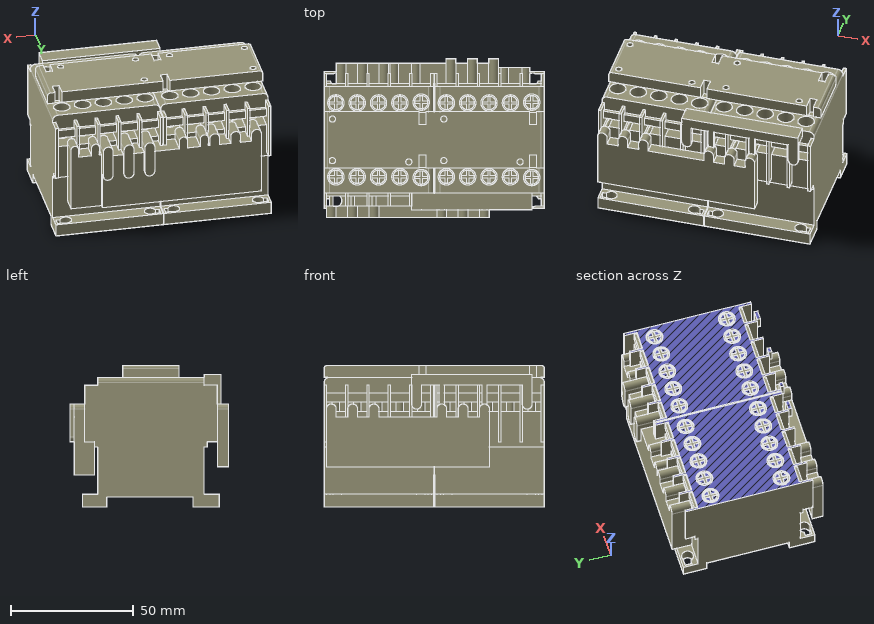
import cadquery as cq


pair_length = 90.0
module_gap = 0.3
module_length = (pair_length - module_gap) / 2
module_pitch = module_length + module_gap
module_centers = (-module_pitch / 2, module_pitch / 2)

body_depth = 43.5
terminal_depth = 46.0
foot_depth = 56.0
rib_depth = 54.2

foot_height = 5.25
foot_channel_height = 4.0
front_foot_width = 10.9
back_foot_width = 10.0
terminal_bottom = 24.5
rib_bottom = 26.6
pocket_floor = 39.0
pocket_roof = 43.0
ledge_top = 46.5
rib_top = 49.85
body_top = 53.0
body_end_radius = 2.1

terminal_pitch = 8.72
terminal_count = 5
rib_width = 1.0
last_end_rib_width = 1.3
first_screw_inset = 4.8
screw_offset = 15.1
last_screw_offset = 15.4
screw_well_diameter = 6.7
screw_head_diameter = 5.5
screw_head_height = 1.5
screw_shaft_diameter = 3.0
cross_length = 5.2
cross_width = 0.95
cross_depth = 0.8
pocket_inner_offset = 11.5

mount_hole_diameter = 4.8
mount_hole_end_inset = 4.8
mount_hole_edge_inset = 3.15
mount_slot_end_inset = 0.9
mount_slot_edge_inset = 1.05
mount_slot_width = 2.8

cover_depth = 23.1
cover_top = 57.9
cover_end_radius = 1.3
cover_hole_diameter = 2.5
cover_hole_points = (
    (-41.6, 8.5), (-41.6, -8.5), (-10.4, -9.0),
    (3.9, 8.5), (3.9, -8.5), (35.1, -9.0),
)
notch_centers = (-4.75, 40.4)
notch_width = 2.8
notch_length = 5.3
notch_lip = 0.35
notch_body_depth = 2.0

phase_count = 3
finger_width = 4.05
finger_top = 42.1
jumper_web_top = 36.85
pin_diameter = 1.5
pin_end_offset = 20.0

front_jumper_face = -31.75
front_jumper_bottom = 16.4
front_jumper_start = -44.1
front_second_group_start = 1.05
front_finger_starts = tuple(
    start + index * terminal_pitch
    for start in (front_jumper_start, front_second_group_start)
    for index in range(phase_count)
)
front_jumper_end = front_finger_starts[-1] + finger_width

bridge_start = -9.25
bridge_end = 40.0
bridge_top = 54.2
bridge_face = -28.65
bridge_leg_thickness = 1.6
bridge_leg_bottom = 40.0
bridge_link_width = 2.2

back_jumper_bottom = 13.0
back_jumper_face = 31.4
back_jumper_start = -40.1
back_wide_finger_starts = tuple(back_jumper_start + index * terminal_pitch for index in range(phase_count))
back_narrow_finger_starts = (-18.0, bridge_start)
back_narrow_finger_width = 3.4
back_short_face = 29.6
back_short_end = 39.05
back_short_finger_width = 3.2
back_first_short_finger_start = 27.2
back_short_finger_starts = (back_first_short_finger_start, back_short_end - back_short_finger_width)
back_bar_face = 33.15
back_first_bar_start = 4.8
back_bar_starts = tuple(back_first_bar_start + index * terminal_pitch for index in range(phase_count))
back_bar_bottom = 26.6
back_jumper_end = back_bar_starts[-1] + finger_width


def box(x_range, y_range, z_range):
    """Axis-aligned block between the given limits."""
    size = [high - low for low, high in (x_range, y_range, z_range)]
    corner = (x_range[0], y_range[0], z_range[0])
    return cq.Workplane("XY").box(*size, centered=False).translate(corner)


def side_range(side, inner, outer):
    """Y limits of a feature lying between two distances from Y = 0 on one side."""
    return tuple(sorted((side * inner, side * outer)))


def upright_cylinder(x, y, diameter, bottom, top):
    return cq.Workplane("XY", origin=(x, y, bottom)).circle(diameter / 2).extrude(top - bottom)


def lying_cylinder(x, z, diameter, y_range):
    """Cylinder along Y."""
    plane = cq.Workplane("XZ", origin=(x, y_range[0], z))
    return plane.circle(diameter / 2).extrude(y_range[0] - y_range[1])


def finger(start, width, y_range, bottom, top, round_top=True, round_bottom=False):
    """Upright bar with half-round ends, seen along Y."""
    radius = width / 2
    center = start + radius
    low = bottom + radius if round_bottom else bottom
    high = top - radius if round_top else top
    shape = box((start, start + width), y_range, (low, high))
    if round_top:
        shape = shape.union(lying_cylinder(center, high, width, y_range))
    if round_bottom:
        shape = shape.union(lying_cylinder(center, low, width, y_range))
    return shape


def screw_position(index):
    """X position of a screw in a module and its distance from Y = 0."""
    x = -module_length / 2 + first_screw_inset + index * terminal_pitch
    is_last = index == terminal_count - 1
    return x, last_screw_offset if is_last else screw_offset


def module_body():
    """Block with feet, stepped terminal zone and rounded top ends."""
    x_range = (-module_length / 2, module_length / 2)
    half_body = body_depth / 2
    half_foot = foot_depth / 2
    half_terminal = terminal_depth / 2

    body = box(x_range, (-half_body, half_body), (foot_channel_height, body_top))
    body = body.edges("|Y and >Z").fillet(body_end_radius)
    body = body.union(box(x_range, (-half_foot, front_foot_width - half_foot), (0, foot_height)))
    body = body.union(box(x_range, (half_foot - back_foot_width, half_foot), (0, foot_height)))
    return body.union(box(x_range, (-half_terminal, half_terminal), (terminal_bottom, ledge_top)))


def add_terminal_row(body, side):
    """Open pockets, separating ribs and recessed cross-head screws along one side."""
    half_length = module_length / 2
    pocket_y = side_range(side, pocket_inner_offset, terminal_depth / 2)
    rib_y = side_range(side, pocket_inner_offset, rib_depth / 2)
    body = body.cut(box((-half_length, half_length), pocket_y, (pocket_floor, pocket_roof)))

    rib_starts = [-half_length + index * terminal_pitch for index in range(terminal_count)]
    rib_limits = [(start, start + rib_width) for start in rib_starts]
    rib_limits.append((half_length - last_end_rib_width, half_length))
    outer_y = side_range(side, body_depth / 2, rib_depth / 2)
    for rib_x in rib_limits:
        body = body.union(box(rib_x, rib_y, (pocket_floor, pocket_roof)))
        body = body.union(box(rib_x, outer_y, (rib_bottom, rib_top)))

    for index in range(terminal_count):
        x, offset = screw_position(index)
        y = side * offset
        head_top = ledge_top + screw_head_height
        slot_z = (head_top - cross_depth, head_top)
        half_long = cross_length / 2
        half_wide = cross_width / 2
        body = body.cut(upright_cylinder(x, y, screw_well_diameter, ledge_top, body_top))
        body = body.union(upright_cylinder(x, y, screw_shaft_diameter, pocket_floor, ledge_top))
        head = upright_cylinder(x, y, screw_head_diameter, ledge_top, head_top)
        head = head.cut(box((x - half_long, x + half_long), (y - half_wide, y + half_wide), slot_z))
        head = head.cut(box((x - half_wide, x + half_wide), (y - half_long, y + half_long), slot_z))
        body = body.union(head)
    return body


def cut_mounting_holes(body):
    """Keyhole openings at the four foot corners, slots pointing to the module ends."""
    for end in (-1, 1):
        hole_x = end * (module_length / 2 - mount_hole_end_inset)
        slot_x = end * (module_length / 2 - mount_slot_end_inset)
        for side in (-1, 1):
            hole_y = side * (foot_depth / 2 - mount_hole_edge_inset)
            slot_outer = foot_depth / 2 - mount_slot_edge_inset
            slot_y = side_range(side, slot_outer - mount_slot_width, slot_outer)
            body = body.cut(upright_cylinder(hole_x, hole_y, mount_hole_diameter, 0, foot_height))
            body = body.cut(box(sorted((hole_x, slot_x)), slot_y, (0, foot_height)))
    return body


def contactor_module():
    body = module_body()
    for side in (-1, 1):
        body = add_terminal_row(body, side)
    return cut_mounting_holes(body)


def cover_plate():
    """Plate across both modules with round holes and edge notches."""
    half_depth = cover_depth / 2
    z_range = (body_top, cover_top)
    plate = box((-pair_length / 2, pair_length / 2), (-half_depth, half_depth), z_range)
    plate = plate.edges("|Y and >Z").fillet(cover_end_radius)
    for x, y in cover_hole_points:
        plate = plate.cut(upright_cylinder(x, y, cover_hole_diameter, body_top, cover_top))
    for x in notch_centers:
        for side in (-1, 1):
            notch_y = side_range(side, half_depth - notch_length, half_depth)
            plate = plate.cut(box((x - notch_width / 2, x + notch_width / 2), notch_y, z_range))
    return plate


def notch_recesses():
    """Shallow recesses in the module tops, just inside the open ends of the cover notches."""
    half_depth = cover_depth / 2
    recesses = cq.Workplane("XY")
    for x in notch_centers:
        for side in (-1, 1):
            x_range = (x - notch_width / 2, x + notch_width / 2)
            y_range = side_range(side, half_depth - notch_length, half_depth - notch_lip)
            recesses = recesses.add(box(x_range, y_range, (body_top - notch_body_depth, body_top)))
    return recesses.combine()


def front_jumper():
    """Plate on the front ribs with six round-topped fingers and their contact pins."""
    back = -rib_depth / 2
    y_range = (front_jumper_face, back)
    x_range = (front_jumper_start, front_jumper_end)
    jumper = box(x_range, y_range, (front_jumper_bottom, jumper_web_top))
    pin_z = finger_top - finger_width / 2
    for start in front_finger_starts:
        jumper = jumper.union(finger(start, finger_width, y_range, front_jumper_bottom, finger_top))
        pin_x = start + finger_width / 2
        jumper = jumper.union(lying_cylinder(pin_x, pin_z, pin_diameter, (back, -pin_end_offset)))
    return jumper


def front_bridge():
    """Bar along the top front edge with two end legs and two links to the front jumper."""
    leg_y = (bridge_face, bridge_face + bridge_leg_thickness)
    bridge = box((bridge_start, bridge_end), (bridge_face, -body_depth / 2), (rib_top, bridge_top))
    for start in (bridge_start, bridge_end - finger_width):
        leg = finger(start, finger_width, leg_y, bridge_leg_bottom, rib_top, False, True)
        bridge = bridge.union(leg)
    for finger_start in (front_finger_starts[3], front_finger_starts[5]):
        start = finger_start + (finger_width - bridge_link_width) / 2
        link = box((start, start + bridge_link_width), leg_y, (bridge_leg_bottom, rib_top))
        bridge = bridge.union(link)
    return bridge


def back_jumpers():
    """Long and short fingered plates side by side on the back, plus three round-ended bars."""
    inner = terminal_depth / 2
    long_y = (inner, back_jumper_face)
    short_y = (inner, back_short_face)
    web_z = (back_jumper_bottom, jumper_web_top)

    jumpers = box((back_jumper_start, back_jumper_end), long_y, web_z)
    jumpers = jumpers.union(box((back_jumper_end, back_short_end), short_y, web_z))
    finger_groups = (
        (back_wide_finger_starts, finger_width, long_y),
        (back_narrow_finger_starts, back_narrow_finger_width, long_y),
        (back_short_finger_starts, back_short_finger_width, short_y),
    )
    for starts, width, y_range in finger_groups:
        for start in starts:
            jumpers = jumpers.union(finger(start, width, y_range, back_jumper_bottom, finger_top))
    for start in back_bar_starts:
        bar_y = (inner, back_bar_face)
        bar = finger(start, finger_width, bar_y, back_bar_bottom, finger_top, True, True)
        jumpers = jumpers.union(bar)
    return jumpers


module = contactor_module()
result = cover_plate()
for center in module_centers:
    result = result.union(module.translate((center, 0, 0)))
result = result.cut(notch_recesses())
result = result.union(front_jumper()).union(front_bridge()).union(back_jumpers())